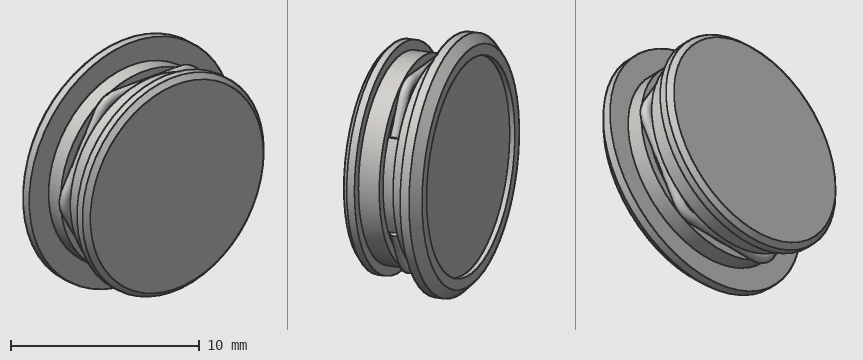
import cadquery as cq
import math

FLANGE_RADIUS = 7.12
FLANGE_THICKNESS = 1.04
FLANGE_CHAMFER = 0.53
RECESS_RADIUS = 5.98
RECESS_DEPTH = 0.3

BODY_RADIUS = 5.76
GROOVE_RADIUS = 5.25
GROOVE_START = 2.02
GROOVE_WIDTH = 0.8

LIP_RADIUS = 6.32
LIP_THICKNESS = 0.74
LIP_CHAMFER = 0.3
PLUG_LENGTH = 4.75

WIRE_RADIUS = 0.3
CLIP_APOTHEM = 5.2
CLIP_BEND_RADIUS = 1.28
CLIP_SIDES = 6
CLIP_X = GROOVE_START + GROOVE_WIDTH / 2


def make_plug():
    """Revolve the stepped half profile, with its groove and face recess, about the X axis."""
    lip_start = PLUG_LENGTH - LIP_THICKNESS
    groove_end = GROOVE_START + GROOVE_WIDTH
    profile = [
        (RECESS_DEPTH, 0),
        (RECESS_DEPTH, RECESS_RADIUS),
        (0, RECESS_RADIUS),
        (0, FLANGE_RADIUS - FLANGE_CHAMFER),
        (FLANGE_CHAMFER, FLANGE_RADIUS),
        (FLANGE_THICKNESS, FLANGE_RADIUS),
        (FLANGE_THICKNESS, BODY_RADIUS),
        (GROOVE_START, BODY_RADIUS),
        (GROOVE_START, GROOVE_RADIUS),
        (groove_end, GROOVE_RADIUS),
        (groove_end, BODY_RADIUS),
        (lip_start, BODY_RADIUS),
        (lip_start, LIP_RADIUS),
        (PLUG_LENGTH - LIP_CHAMFER, LIP_RADIUS),
        (PLUG_LENGTH, LIP_RADIUS - LIP_CHAMFER),
        (PLUG_LENGTH, 0),
    ]
    return cq.Workplane("XY").polyline(profile).close().revolve(360, (0, 0, 0), (1, 0, 0))


def polar(radius, degrees):
    """Point in the YZ plane, with the angle measured from +Y towards +Z."""
    angle = math.radians(degrees)
    return radius * math.cos(angle), radius * math.sin(angle)


def make_clip():
    """Sweep the round wire along a hexagon with rounded corners.

    The wire starts and ends at the middle of the two sides next to the missing +Y corner.
    """
    side_angle = 360 // CLIP_SIDES
    half_side_angle = side_angle / 2
    half_bend = math.radians(half_side_angle)
    corner_radius = CLIP_APOTHEM / math.cos(half_bend)
    bend_centre_radius = corner_radius - CLIP_BEND_RADIUS / math.cos(half_bend)
    bend_middle_radius = bend_centre_radius + CLIP_BEND_RADIUS
    tangent_length = CLIP_BEND_RADIUS * math.tan(half_bend)
    half_straight = CLIP_APOTHEM * math.tan(half_bend) - tangent_length
    bend_end_radius = math.hypot(CLIP_APOTHEM, half_straight)
    straight_angle = math.degrees(math.atan2(half_straight, CLIP_APOTHEM))

    start = polar(CLIP_APOTHEM, half_side_angle)
    path = cq.Workplane("YZ", origin=(CLIP_X, 0, 0)).moveTo(*start)
    for corner_angle in range(side_angle, 360, side_angle):
        previous_side = corner_angle - half_side_angle
        next_side = corner_angle + half_side_angle
        path = path.lineTo(*polar(bend_end_radius, previous_side + straight_angle))
        path = path.threePointArc(
            polar(bend_middle_radius, corner_angle),
            polar(bend_end_radius, next_side - straight_angle),
        )
    path = path.lineTo(*polar(CLIP_APOTHEM, -half_side_angle))

    wire_direction = (0, *polar(1, half_side_angle + 90))
    section = cq.Plane(origin=(CLIP_X, *start), xDir=(1, 0, 0), normal=wire_direction)
    return cq.Workplane(section).circle(WIRE_RADIUS).sweep(path)


result = make_plug().union(make_clip())